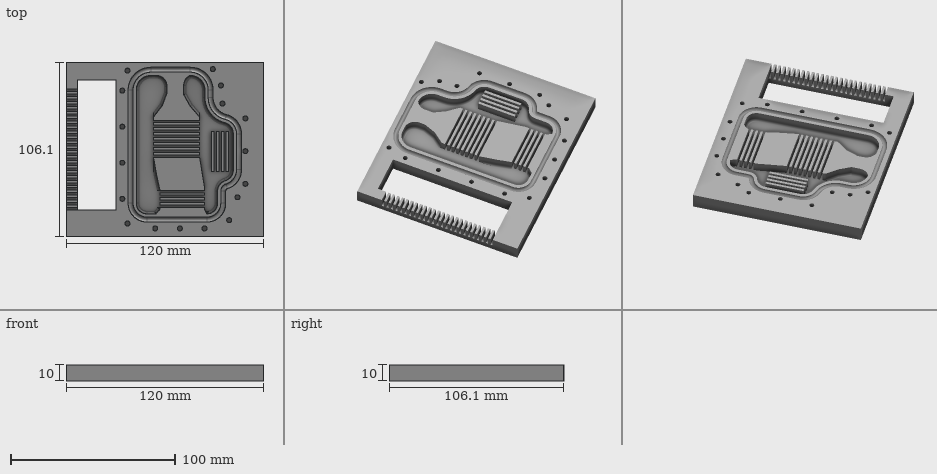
import cadquery as cq
import math

length = 120.0
width = 106.1
thickness = 10.0
cut_depth = 6.0

window_left = 6.7
window_right = 30.0
window_bottom = 16.3
window_top = 95.3
slot_pitch = 3.0
slot_width = slot_pitch / 2
comb_slots = 25

groove_width = 3.0
groove_radius = groove_width / 2
groove_left = 39.0
groove_bottom = 10.5
groove_top = 101.6
shoulder_x = 87.7
bulge_x = 105.0
foot_x = 95.4
top_radius = 12.5
bottom_radius = 10.0
bulge_radius = 10.5
shoulder_blend_radius = 12.1
foot_blend_radius = 3.0
shoulder_end_y = 84.6
bulge_end_y = 40.8

wall_inset = 3.5
floor_radius = groove_radius
left_lobe_radius = 6.8
left_lobe_x = 61.2
left_lobe_bottom_y = 87.6
right_lobe_x = 71.3
right_lobe_top_y = 91.9
right_lobe_bottom_y = 86.5
left_neck = (58.3, 79.9)
right_neck = (75.2, 79.5)
neck_end_y = 72.8

upper_fins = 7
upper_left = 52.9
upper_right = 81.0
upper_bottom = 48.4
lower_fins = 3
lower_left = 56.9
lower_right = 83.9
lower_bottom = 17.8
left_flank = (54.8, 37.5)
right_flank_end_y = 30.6
left_heel_x = 54.4
heel_y = 16.8

upright_fins = 4
upright_fin_left = 88.2
upright_fin_bottom = 39.8
upright_fin_top = 64.0

hole_diameter = 3.0
left_row_x = 34.0
left_row_y = 23.0
left_row_pitch = 22.0
left_row_count = 4
bottom_row_x = 54.0
bottom_row_y = 5.0
bottom_row_pitch = 15.0
bottom_row_count = 3
right_row_x = 108.8
right_row_y = 32.2
right_row_pitch = 19.9
right_row_count = 3
corner_holes = [(37.1, 8.0), (37.1, 101.0)]
foot_holes = [(99.0, 10.1), (104.0, 24.0)]
shoulder_holes = [(94.9, 81.0), (94.0, 92.0), (89.0, 102.0)]

lower_top = lower_bottom + (2 * lower_fins + 1) * slot_width
floor_z = thickness - cut_depth
wall_top = groove_top - wall_inset
wall_bottom = groove_bottom + wall_inset
bottom_right_center = (foot_x - bottom_radius, groove_bottom + bottom_radius)


def block(left, right, bottom, top):
    """Upright block from the pocket floor to the top face."""
    corner = (left, bottom, floor_z)
    return cq.Workplane().box(right - left, top - bottom, cut_depth, centered=False).translate(corner)


def bank_slots(left, right, bottom, count):
    """Boxes open at the top, one per slot, stacked along Y."""
    slots = cq.Workplane()
    for i in range(count):
        slot_bottom = bottom + i * slot_pitch
        slots = slots.add(block(left, right, slot_bottom, slot_bottom + slot_width))
    return slots.combine()


def arc_by_angles(path, center, radius, start, end):
    """Extend path by a circular arc between two angles in degrees."""
    def point(angle):
        turn = math.radians(angle)
        return (center[0] + radius * math.cos(turn), center[1] + radius * math.sin(turn))

    return path.threePointArc(point((start + end) / 2), point(end))


def add_right_side(path, inset):
    """Run clockwise from the top edge, round the bulge, to the bottom edge."""
    top_r = top_radius - inset
    bulge_r = bulge_radius - inset
    bottom_r = bottom_radius - inset
    shoulder_r = shoulder_blend_radius + inset
    foot_r = foot_blend_radius + inset

    shoulder_sum = shoulder_r + bulge_r
    shoulder_turn = math.acos(1 - (bulge_x - shoulder_x) / shoulder_sum)
    bulge_start_y = shoulder_end_y - shoulder_sum * math.sin(shoulder_turn)
    foot_sum = foot_r + bulge_r
    foot_turn = math.acos(1 - (bulge_x - foot_x) / foot_sum)
    foot_start_y = bulge_end_y - foot_sum * math.sin(foot_turn)
    shoulder_angle = math.degrees(shoulder_turn)
    foot_angle = math.degrees(foot_turn)

    top_center = (shoulder_x - top_radius, groove_top - top_radius)
    bulge_center_x = bulge_x - bulge_radius
    shoulder_center = (shoulder_x + shoulder_blend_radius, shoulder_end_y)
    foot_center = (foot_x + foot_blend_radius, foot_start_y)

    path = arc_by_angles(path, top_center, top_r, 90, 0)
    path = path.lineTo(shoulder_x - inset, shoulder_end_y)
    path = arc_by_angles(path, shoulder_center, shoulder_r, 180, 180 + shoulder_angle)
    path = arc_by_angles(path, (bulge_center_x, bulge_start_y), bulge_r, shoulder_angle, 0)
    path = path.lineTo(bulge_x - inset, bulge_end_y)
    path = arc_by_angles(path, (bulge_center_x, bulge_end_y), bulge_r, 0, -foot_angle)
    path = arc_by_angles(path, foot_center, foot_r, 180 - foot_angle, 180)
    path = path.lineTo(foot_x - inset, bottom_right_center[1])
    return arc_by_angles(path, bottom_right_center, bottom_r, 0, -90)


def add_bottom_left_corner(path, inset):
    center = (groove_left + bottom_radius, groove_bottom + bottom_radius)
    return arc_by_angles(path, center, bottom_radius - inset, -90, -180)


def add_top_left_corner(path, inset):
    center = (groove_left + top_radius, groove_top - top_radius)
    return arc_by_angles(path, center, top_radius - inset, 180, 90)


def make_groove():
    """Half-round channel: a round bar swept along the centreline on the top face."""
    start = (groove_left + top_radius, groove_top)
    path = cq.Workplane("XY", origin=(0, 0, thickness)).moveTo(*start)
    path = path.lineTo(shoulder_x - top_radius, groove_top)
    path = add_right_side(path, 0)
    path = path.lineTo(groove_left + bottom_radius, groove_bottom)
    path = add_bottom_left_corner(path, 0)
    path = path.lineTo(groove_left, groove_top - top_radius)
    path = add_top_left_corner(path, 0).wire()
    section = cq.Workplane("YZ", origin=(start[0], start[1], thickness)).circle(groove_radius)
    return section.sweep(path)


def sink(outline):
    """Pocket cutter with a rounded floor edge."""
    return outline.close().extrude(cut_depth).faces("<Z").edges().fillet(floor_radius)


def make_left_pocket():
    lobe_center = (left_lobe_x - left_lobe_radius, wall_top - left_lobe_radius)
    outline = cq.Workplane("XY", origin=(0, 0, floor_z))
    outline = outline.moveTo(groove_left + top_radius, wall_top).lineTo(lobe_center[0], wall_top)
    outline = arc_by_angles(outline, lobe_center, left_lobe_radius, 90, 0)
    outline = outline.lineTo(left_lobe_x, left_lobe_bottom_y).lineTo(*left_neck)
    outline = outline.lineTo(upper_left, neck_end_y).lineTo(upper_left, upper_bottom)
    outline = outline.lineTo(*left_flank).lineTo(lower_left, lower_top)
    outline = outline.lineTo(lower_left, heel_y).lineTo(left_heel_x, wall_bottom)
    outline = outline.lineTo(groove_left + bottom_radius, wall_bottom)
    outline = add_bottom_left_corner(outline, wall_inset)
    outline = outline.lineTo(groove_left + wall_inset, groove_top - top_radius)
    return sink(add_top_left_corner(outline, wall_inset))


def make_right_pocket():
    top_x = shoulder_x - top_radius
    rise = wall_top - right_lobe_top_y
    run = top_x - right_lobe_x
    lobe_radius = (rise**2 + run**2) / (2 * run)
    outline = cq.Workplane("XY", origin=(0, 0, floor_z)).moveTo(top_x, wall_top)
    outline = add_right_side(outline, wall_inset)
    outline = outline.lineTo(lower_right, heel_y).lineTo(lower_right, right_flank_end_y)
    outline = outline.lineTo(upper_right, upper_bottom).lineTo(upper_right, neck_end_y)
    outline = outline.lineTo(*right_neck).lineTo(right_lobe_x, right_lobe_bottom_y)
    outline = outline.lineTo(right_lobe_x, right_lobe_top_y)
    outline = outline.radiusArc((top_x, wall_top), lobe_radius)
    return sink(outline)


def make_square_corners():
    """Flat floor carried right up to the fin ends and the right flank."""
    reach = 2 * floor_radius
    past_neck = neck_end_y + reach
    left_upper = block(upper_left - reach, upper_left, left_flank[1], past_neck)
    left_lower = block(lower_left - reach, lower_left, lower_bottom, lower_top)

    corner_radius = bottom_radius - wall_inset - floor_radius
    heel_run = bottom_right_center[0] - lower_right
    heel_end_y = wall_bottom + floor_radius
    heel_end_x = lower_right + heel_run * (heel_y - heel_end_y) / (heel_y - wall_bottom)
    right = cq.Workplane("XY", origin=(0, 0, floor_z)).polyline([
        (lower_right + reach, right_flank_end_y),
        (upper_right + reach, upper_bottom),
        (upper_right + reach, past_neck),
        (upper_right, past_neck),
        (upper_right, upper_bottom),
        (lower_right, right_flank_end_y),
        (lower_right, heel_y),
        (heel_end_x, heel_end_y),
        (bottom_right_center[0], heel_end_y),
    ])
    corner_end = -60
    right = arc_by_angles(right, bottom_right_center, corner_radius, -90, corner_end)
    return left_upper.union(left_lower).union(right.close().extrude(cut_depth))


def make_upright_fins():
    fins = cq.Workplane()
    for i in range(upright_fins):
        left = upright_fin_left + i * slot_pitch
        fins = fins.add(block(left, left + slot_width, upright_fin_bottom, upright_fin_top))
    return fins.combine()


left_row = [(left_row_x, left_row_y + i * left_row_pitch) for i in range(left_row_count)]
bottom_row = [(bottom_row_x + i * bottom_row_pitch, bottom_row_y) for i in range(bottom_row_count)]
right_row = [(right_row_x, right_row_y + i * right_row_pitch) for i in range(right_row_count)]
holes = left_row + bottom_row + right_row + corner_holes + foot_holes + shoulder_holes

plate = cq.Workplane().box(length, width, thickness, centered=False)
window = cq.Workplane().box(
    window_right - window_left, window_top - window_bottom, thickness, centered=False
).translate((window_left, window_bottom, 0))

result = (
    plate.cut(window)
    .cut(bank_slots(0, window_left, window_bottom, comb_slots))
    .cut(make_groove())
    .cut(make_left_pocket())
    .cut(make_right_pocket())
    .cut(make_square_corners())
    .cut(bank_slots(upper_left, upper_right, upper_bottom, upper_fins + 1))
    .cut(bank_slots(lower_left, lower_right, lower_bottom, lower_fins + 1))
    .union(make_upright_fins())
    .faces(">Z").workplane(origin=(0, 0, thickness)).pushPoints(holes).hole(hole_diameter, cut_depth)
)